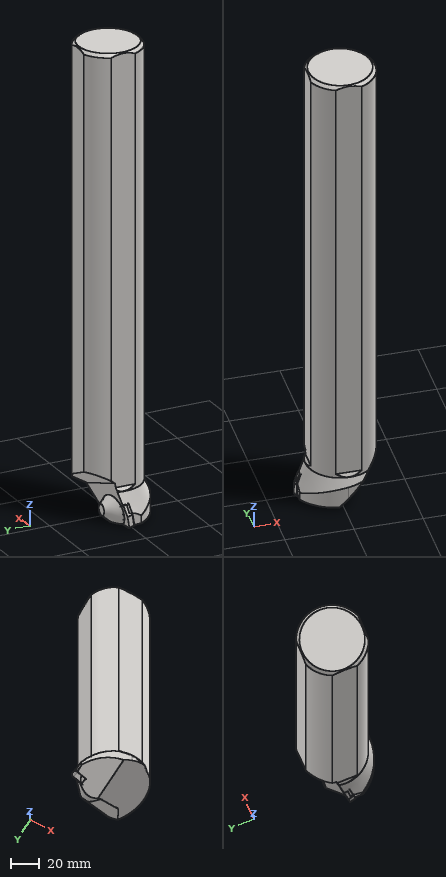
import cadquery as cq
import math

LENGTH = 357.0
BAR_RADIUS = 25.5
TOP_CHAMFER = 2.5
REACH = 43.0
DEEP = 3 * REACH

FLAT_DISTANCE = 23.5
FLAT_BOTTOM_Z = 28.2
FLAT_RAMP_DROP = 3.0

FLARE_TOP_Z = 25.0
FLARE_SLOPE = 0.45
HEAD_CENTRE_X = -1.8
HEAD_LARGE_RADIUS = 34.0
HEAD_SMALL_RADIUS = 28.2
HEAD_SIDE_X = -31.8
HEAD_BOTTOM_Z = 0.7
HEAD_BOTTOM_TILT = 3.0
RELIEF_X_AT_ZERO = -10.0

RAKE_SLOPE_X = 0.21
RAKE_SLOPE_Z = 0.13
CORNER = (-33.5, 0.0, -0.07)
POCKET_ROOF_POINT = (8.5, 23.5, 30.0)
POCKET_ROOF_NORMAL = (-0.45, 0.75, -1.0)

INSERT_CIRCLE_RADIUS = 6.5
INSERT_THICKNESS = 4.5
INSERT_NOSE_RADIUS = 0.7
NOSE_ANGLE = 80.0
HOLE_DIAMETER = 5.0

CLAMP_X = -15.5
CLAMP_Z = 9.5
CLAMP_TOP_Y = 13.0
CLAMP_TOP_RADIUS = 4.3
CLAMP_SLOPE = 0.9
CLAMP_DEPTH = 18.0

rake_plane = cq.Plane(
    origin=CORNER,
    xDir=(-1, -RAKE_SLOPE_X, 0),
    normal=(-RAKE_SLOPE_X, 1, -RAKE_SLOPE_Z),
)
roof_plane = cq.Plane(
    origin=POCKET_ROOF_POINT,
    xDir=(1, 0, POCKET_ROOF_NORMAL[0]),
    normal=POCKET_ROOF_NORMAL,
)

bottom_tilt = math.radians(HEAD_BOTTOM_TILT)
bottom_plane = cq.Plane(
    origin=(0, 0, HEAD_BOTTOM_Z),
    xDir=(1, 0, 0),
    normal=(0, -math.sin(bottom_tilt), -math.cos(bottom_tilt)),
)
relief_plane = cq.Plane(origin=(RELIEF_X_AT_ZERO, 0, 0), xDir=(0, 1, 0), normal=(1, 0, -1))


def half_space(plane):
    """A large block on the normal side of a plane."""
    return cq.Workplane(plane).rect(2 * DEEP, 2 * DEEP).extrude(DEEP)


FIRST_NOSE_DIRECTION = -45.0
NOSE_COUNT = 3
PITCH = 360 / NOSE_COUNT


def polar(radius, degrees):
    angle = math.radians(degrees)
    return (radius * math.cos(angle), radius * math.sin(angle))


nose_distance = INSERT_CIRCLE_RADIUS / math.sin(math.radians(NOSE_ANGLE / 2))
flank_distance = INSERT_CIRCLE_RADIUS / math.sin(math.radians(NOSE_ANGLE))
first_nose = polar(nose_distance, FIRST_NOSE_DIRECTION)
insert_centre = (-first_nose[0], -first_nose[1])


def is_nose(edge):
    """True for a thickness edge at a nose, which lies beyond the flank corners."""
    local = rake_plane.toLocalCoords(edge.Center())
    distance = math.hypot(local.x - insert_centre[0], local.y - insert_centre[1])
    return distance > (nose_distance + flank_distance) / 2


def trigon_plate():
    """Insert outline with rounded noses, extruded down from the rake plane."""
    points = []
    for i in range(NOSE_COUNT):
        direction = FIRST_NOSE_DIRECTION + i * PITCH
        points.append(polar(nose_distance, direction))
        points.append(polar(flank_distance, direction + PITCH / 2))
    plate = (
        cq.Workplane(rake_plane)
        .center(*insert_centre)
        .polyline(points)
        .close()
        .extrude(-INSERT_THICKNESS)
    )
    thickness_edges = plate.edges(cq.selectors.ParallelDirSelector(rake_plane.zDir))
    nose_edges = thickness_edges.filter(is_nose)
    return nose_edges.fillet(INSERT_NOSE_RADIUS)


def locating_pin():
    """Pin of the holder that fills the hole of the insert."""
    return (
        cq.Workplane(rake_plane)
        .center(*insert_centre)
        .circle(HOLE_DIAMETER / 2)
        .extrude(-INSERT_THICKNESS)
    )


def shank():
    """Round bar with a top chamfer and three flats that run out above the head."""
    top_radius = BAR_RADIUS - TOP_CHAMFER
    bar = (
        cq.Workplane("XZ")
        .moveTo(0, FLARE_TOP_Z)
        .lineTo(BAR_RADIUS, FLARE_TOP_Z)
        .lineTo(BAR_RADIUS, LENGTH - TOP_CHAMFER)
        .lineTo(top_radius, LENGTH)
        .lineTo(0, LENGTH)
        .close()
        .revolve(360, (0, 0), (0, 1))
    )
    ramp_bottom_z = FLAT_BOTTOM_Z - FLAT_RAMP_DROP
    flat_cut = (
        cq.Workplane("XZ")
        .moveTo(FLAT_DISTANCE, LENGTH)
        .lineTo(FLAT_DISTANCE, FLAT_BOTTOM_Z)
        .lineTo(BAR_RADIUS, ramp_bottom_z)
        .lineTo(REACH, ramp_bottom_z)
        .lineTo(REACH, LENGTH)
        .close()
        .extrude(REACH, both=True)
    )
    for direction in (90, 180, 270):
        bar = bar.cut(flat_cut.rotate((0, 0, 0), (0, 0, 1), direction))
    return bar


def head():
    """Downward flaring cone, trimmed by an upright eccentric outline."""
    flare = (
        cq.Workplane("XZ")
        .moveTo(0, FLARE_TOP_Z)
        .lineTo(BAR_RADIUS, FLARE_TOP_Z)
        .lineTo(BAR_RADIUS + FLARE_SLOPE * FLARE_TOP_Z, 0)
        .lineTo(0, 0)
        .close()
        .revolve(360, (0, 0), (0, 1))
    )
    large_centre_y = HEAD_LARGE_RADIUS - HEAD_SMALL_RADIUS
    start_angle = math.pi + math.acos((HEAD_CENTRE_X - HEAD_SIDE_X) / HEAD_LARGE_RADIUS)
    lowest_angle = 1.5 * math.pi
    mid_angle = (start_angle + lowest_angle) / 2

    def large_arc(angle):
        return (
            HEAD_CENTRE_X + HEAD_LARGE_RADIUS * math.cos(angle),
            large_centre_y + HEAD_LARGE_RADIUS * math.sin(angle),
        )

    small_mid = HEAD_SMALL_RADIUS * math.sqrt(0.5)
    right_x = HEAD_CENTRE_X + HEAD_SMALL_RADIUS
    outline = (
        cq.Workplane("XY")
        .moveTo(HEAD_SIDE_X, BAR_RADIUS)
        .lineTo(*large_arc(start_angle))
        .threePointArc(large_arc(mid_angle), large_arc(lowest_angle))
        .threePointArc((HEAD_CENTRE_X + small_mid, -small_mid), (right_x, 0))
        .lineTo(right_x, BAR_RADIUS)
        .close()
        .extrude(FLARE_TOP_Z)
    )
    return flare.intersect(outline)


def clamp():
    """Tapered clamp standing on the rake plane over the insert."""
    cone = cq.Workplane(
        cq.Solid.makeCone(
            CLAMP_TOP_RADIUS,
            CLAMP_TOP_RADIUS + CLAMP_SLOPE * CLAMP_DEPTH,
            CLAMP_DEPTH,
            pnt=cq.Vector(CLAMP_X, CLAMP_TOP_Y, CLAMP_Z),
            dir=cq.Vector(0, -1, 0),
        )
    )
    return cone.intersect(half_space(rake_plane))


chip_pocket = half_space(rake_plane).intersect(half_space(roof_plane))
plate = trigon_plate()
pin = locating_pin()

holder = shank().union(head()).cut(chip_pocket).union(clamp())
holder = holder.cut(half_space(relief_plane)).cut(half_space(bottom_plane))
holder = holder.cut(plate).union(pin)
insert = plate.cut(pin)

result = cq.Compound.makeCompound([holder.solids().val(), insert.solids().val()])